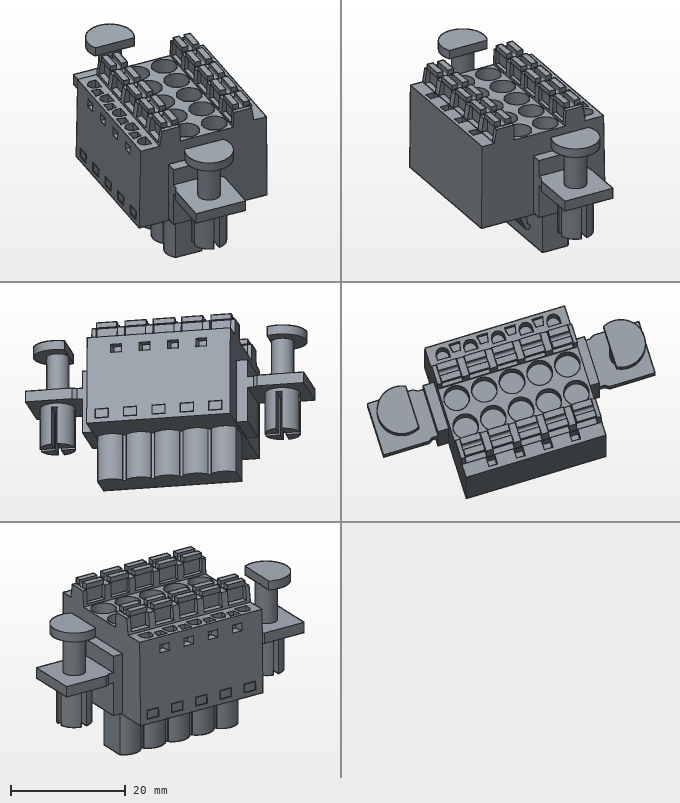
import cadquery as cq

total_length = 49.55
total_height = 28.35
pole_pitch = 5.05
pole_count = 5
pole_xs = [(i - (pole_count - 1) / 2) * pole_pitch for i in range(pole_count)]
row_length = pole_xs[-1] - pole_xs[0]
between_xs = [x + pole_pitch / 2 for x in pole_xs[:-1]]

body_width = 25.5
body_bottom = 8.35
deck_top = 24.25
back_shelf_top = 24.65
front_y = -10.0
front_draft = 0.3
back_y = 14.7
back_draft = 0.15
front_top_y = front_y + front_draft
back_top_y = back_y - back_draft

ridge_top = 27.25
front_ridge_outer = -6.05
front_ridge_inner = -2.05
back_ridge_outer = 12.15
back_ridge_inner = 8.15
ridge_outer_slope = 0.45
ridge_inner_slope = 0.15

button_width = 3.75
end_button_relief = 0.15
recess_floor = 24.7
cap_depth = 3.25
cap_bottom = 27.4
stem_depth = 2.15
button_groove_width = 0.95
groove_axis_z = 27.65
front_button_y = -3.8
back_button_y = 10.0

test_hole_diameter = 4.45
test_hole_depth = 2.77
test_hole_ys = (0.45, 5.75)
wire_hole_width = 2.35
wire_hole_back = -6.95
wire_hole_front = -8.9
wire_hole_depth = 2.95
wedge_wide = 1.95
wedge_narrow = 1.35
wedge_front = -9.05
wedge_back = -7.55
wedge_depth = 1.25
square_hole_size = 1.6
square_hole_y = 13.1
square_hole_depth = 2.95

window_bottom = 21.2
window_height = 1.5
window_depth = 1.5
marker_width = wire_hole_width
marker_bottom = 9.25
marker_height = 1.65
marker_depth = 0.2

tube_width = 4.45
tube_back = 2.3
tube_corner = -2.77
tube_front = -3.7
web_front = -2.5
latch_length = row_length
latch_outer_root = (5.95, body_bottom)
latch_outer_middle = (5.25, 6.3)
latch_outer_end = (4.3, 4.15)
latch_tip_middle = (3.7, 4.05)
latch_tip_end = (3.45, 4.6)
latch_throat = (4.0, 5.35)
latch_inner_middle = (4.05, 6.95)
latch_inner_root = (3.55, body_bottom)

plate_length = 29.45
plate_width = 8.65
plate_bottom = 8.65
plate_top = 20.0
ear_width = 9.6
ear_bottom = 14.9
ear_top = 16.9
ear_shoulder_x = 16.5
ear_neck_x = 15.7

screw_x = 20.0
shank_diameter = 3.95
head_diameter = 8.5
head_bottom = 24.4
head_top = 26.05
leg_diameter = 6.2
leg_bottom = 7.45
slot_width = 1.05
slot_top = 14.2


def box(x_range, y_range, z_range):
    """Box between two limits along each axis."""
    limits = (x_range, y_range, z_range)
    sizes = [high - low for low, high in limits]
    corner = [low for low, high in limits]
    return cq.Workplane("XY").box(*sizes, centered=False).translate(tuple(corner))


def centered_box(x, length, y_range, z_range):
    """Box centred on x along X, between limits along Y and Z."""
    return box((x - length / 2, x + length / 2), y_range, z_range)


def cylinder(x, y, diameter, bottom, top):
    """Upright round bar."""
    return cq.Workplane("XY", origin=(x, y, bottom)).circle(diameter / 2).extrude(top - bottom)


def side_extrusion(sketch, length):
    """Extrude a YZ outline symmetrically along X."""
    return sketch.close().extrude(length / 2, both=True)


def make_housing():
    """Plain housing with both ridges, without any openings."""
    outline = cq.Workplane("YZ").polyline([
        (front_y, body_bottom),
        (front_top_y, deck_top),
        (front_ridge_outer, deck_top),
        (front_ridge_outer + ridge_outer_slope, ridge_top),
        (front_ridge_inner - ridge_inner_slope, ridge_top),
        (front_ridge_inner, deck_top),
        (back_ridge_inner, deck_top),
        (back_ridge_inner + ridge_inner_slope, ridge_top),
        (back_ridge_outer - ridge_outer_slope, ridge_top),
        (back_ridge_outer, back_shelf_top),
        (back_top_y, back_shelf_top),
        (back_y, body_bottom),
    ])
    return side_extrusion(outline, body_width)


def cut_button_recesses(body):
    """Cut a button recess through each ridge at every pole, leaving cheeks between them."""
    for x in pole_xs:
        for ridge in ((front_ridge_outer, front_ridge_inner), (back_ridge_inner, back_ridge_outer)):
            body = body.cut(centered_box(x, button_width, ridge, (recess_floor, ridge_top)))
    return body


def make_button(x, y):
    """Stem with an overhanging cap that has a round-bottomed groove along X."""
    left = x - button_width / 2
    right = x + button_width / 2
    if x == pole_xs[0]:
        right -= end_button_relief
    if x == pole_xs[-1]:
        left += end_button_relief
    span = (left, right)
    stem = box(span, (y - stem_depth / 2, y + stem_depth / 2), (recess_floor, cap_bottom))
    cap = box(span, (y - cap_depth / 2, y + cap_depth / 2), (cap_bottom, total_height))
    half_groove = button_groove_width / 2
    groove = box(span, (y - half_groove, y + half_groove), (groove_axis_z, total_height))
    groove_round = (
        cq.Workplane("YZ", origin=(left, y, groove_axis_z)).circle(half_groove).extrude(right - left)
    )
    return stem.union(cap).cut(groove).cut(groove_round)


def wedge(x, back, front, bottom, height):
    """Upright prism, wide at the front and narrow at the back."""
    return (
        cq.Workplane("XY", origin=(x, 0, bottom))
        .polyline([
            (-wedge_wide / 2, front),
            (wedge_wide / 2, front),
            (wedge_narrow / 2, back),
            (-wedge_narrow / 2, back),
        ])
        .close()
        .extrude(height)
    )


def wire_hole(x):
    """D-shaped funnel with its round side towards the front."""
    half = wire_hole_width / 2
    round_start = wire_hole_front + half
    return (
        cq.Workplane("XY", origin=(x, 0, deck_top))
        .moveTo(-half, wire_hole_back)
        .lineTo(-half, round_start)
        .threePointArc((0, wire_hole_front), (half, round_start))
        .lineTo(half, wire_hole_back)
        .close()
        .extrude(-wire_hole_depth)
    )


def front_wall_y(z):
    """Y of the leaning front wall at height z."""
    return front_y + front_draft * (z - body_bottom) / (deck_top - body_bottom)


def cut_openings(body):
    """Cut the holes in the top and the shallow pockets in the front wall."""
    marker_back = front_wall_y(marker_bottom) + marker_depth
    for x in pole_xs:
        for y in test_hole_ys:
            body = body.cut(cylinder(x, y, test_hole_diameter, deck_top - test_hole_depth, deck_top))
        body = body.cut(wire_hole(x))
        marker_heights = (marker_bottom, marker_bottom + marker_height)
        body = body.cut(centered_box(x, marker_width, (front_y, marker_back), marker_heights))

    window_front = front_wall_y(window_bottom)
    half_square = square_hole_size / 2
    square_span = (square_hole_y - half_square, square_hole_y + half_square)
    for x in between_xs:
        body = body.cut(wedge(x, wedge_back, wedge_front, deck_top - wedge_depth, wedge_depth))
        body = body.cut(wedge(x, window_front + window_depth, window_front, window_bottom, window_height))
        square_heights = (back_shelf_top - square_hole_depth, back_shelf_top)
        body = body.cut(centered_box(x, square_hole_size, square_span, square_heights))
    return body


def make_tubes():
    """Row of plug tubes with arched fronts, joined by a web."""
    half = tube_width / 2
    tubes = centered_box(0, row_length, (web_front, tube_back), (0, body_bottom))
    for x in pole_xs:
        tube = (
            cq.Workplane("XY", origin=(x, 0, 0))
            .moveTo(-half, tube_back)
            .lineTo(-half, tube_corner)
            .threePointArc((0, tube_front), (half, tube_corner))
            .lineTo(half, tube_back)
            .close()
            .extrude(body_bottom)
        )
        tubes = tubes.union(tube)
    return tubes


def make_latch():
    """Curved hook that hangs from the housing behind the tubes."""
    outline = (
        cq.Workplane("YZ")
        .moveTo(*latch_outer_root)
        .threePointArc(latch_outer_middle, latch_outer_end)
        .threePointArc(latch_tip_middle, latch_tip_end)
        .lineTo(*latch_throat)
        .threePointArc(latch_inner_middle, latch_inner_root)
    )
    return side_extrusion(outline, latch_length)


def make_flange():
    """Side plates and the ear plate that carries both screws."""
    half_plate = plate_width / 2
    half_ear = ear_width / 2
    end_x = total_length / 2
    plates = centered_box(0, plate_length, (-half_plate, half_plate), (plate_bottom, plate_top))
    ear = (
        cq.Workplane("XY", origin=(0, 0, ear_bottom))
        .polyline([
            (0, -half_plate),
            (ear_neck_x, -half_plate),
            (ear_shoulder_x, -half_ear),
            (end_x, -half_ear),
            (end_x, half_ear),
            (ear_shoulder_x, half_ear),
            (ear_neck_x, half_plate),
            (0, half_plate),
        ])
        .close()
        .extrude(ear_top - ear_bottom)
    )
    return plates.union(ear).union(ear.mirror("YZ"))


def make_screw():
    """Right-hand screw: cross-slotted leg, shank, and a head cut flat on the housing side."""
    leg = cylinder(screw_x, 0, leg_diameter, leg_bottom, ear_bottom)
    slot_heights = (leg_bottom, slot_top)
    half_slot = slot_width / 2
    leg_radius = leg_diameter / 2
    leg = leg.cut(centered_box(screw_x, slot_width, (-leg_radius, leg_radius), slot_heights))
    leg = leg.cut(centered_box(screw_x, leg_diameter, (-half_slot, half_slot), slot_heights))
    shank = cylinder(screw_x, 0, shank_diameter, ear_bottom, head_bottom)
    head = cylinder(screw_x, 0, head_diameter, head_bottom, head_top)
    head_radius = head_diameter / 2
    flat_x = screw_x - shank_diameter / 2
    cut_off = box((screw_x - head_radius, flat_x), (-head_radius, head_radius), (head_bottom, head_top))
    return leg.union(shank).union(head.cut(cut_off))


housing = cut_openings(cut_button_recesses(make_housing()))
for pole_x in pole_xs:
    for button_y in (front_button_y, back_button_y):
        housing = housing.union(make_button(pole_x, button_y))

screw = make_screw()
side_parts = make_flange().union(screw).union(screw.mirror("YZ"))
result = housing.union(side_parts).union(make_tubes()).union(make_latch())